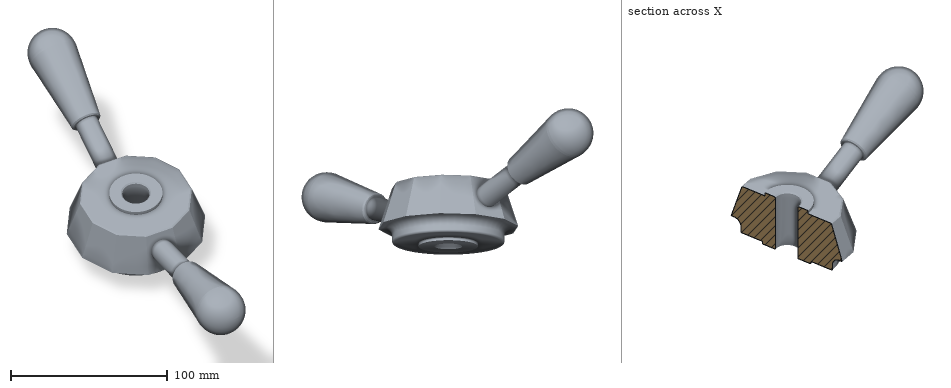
import cadquery as cq
import math

span = 283.7
right_reach = 142.7
left_reach = span - right_reach

foot_dia = 38.0
disc_dia = 72.0
disc_bottom = 2.0
disc_edge_radius = 1.5
neck_radius = 5.0
hub_sides = 12
hub_width = 87.0
hub_bottom = 12.2
hub_top = 39.5
hub_edge_chamfer = 0.7
boss_dia = 34.0
boss_top = 42.0
bore_dia = 17.5
bore_chamfer = 0.9

arm_angle = 17.5
axis_height = 13.5
rod_dia = 15.0
grip_end_dia = 32.0
grip_neck_dia = 20.0
grip_length = 53.5
grip_neck_chamfer = 0.9
grip_band = 2.0


def make_faceted_body():
    """Twelve-sided tapered body with facets square to X and Y."""
    half_sector = 180.0 / hub_sides
    corner_dia = hub_width / math.cos(math.radians(half_sector))
    return (
        cq.Workplane("XY", origin=(0, 0, hub_bottom))
        .transformed(rotate=(0, 0, half_sector))
        .polygon(hub_sides, corner_dia)
        .extrude(hub_top - hub_bottom, taper=arm_angle)
        .faces(">Z")
        .chamfer(hub_edge_chamfer)
    )


def make_hub_core():
    """Turned foot, disc, neck fillet and top boss."""
    disc_radius = disc_dia / 2
    foot_radius = foot_dia / 2
    boss_radius = boss_dia / 2
    arc_offset = 1 - math.sqrt(0.5)
    edge_mid = (
        disc_radius - disc_edge_radius * arc_offset,
        disc_bottom + disc_edge_radius * arc_offset,
    )
    neck_mid = (
        disc_radius + neck_radius * arc_offset,
        hub_bottom - neck_radius * arc_offset,
    )
    return (
        cq.Workplane("XZ")
        .moveTo(0, 0)
        .lineTo(foot_radius, 0)
        .lineTo(foot_radius, disc_bottom)
        .lineTo(disc_radius - disc_edge_radius, disc_bottom)
        .threePointArc(edge_mid, (disc_radius, disc_bottom + disc_edge_radius))
        .lineTo(disc_radius, hub_bottom - neck_radius)
        .threePointArc(neck_mid, (disc_radius + neck_radius, hub_bottom))
        .lineTo(boss_radius, hub_bottom)
        .lineTo(boss_radius, boss_top)
        .lineTo(0, boss_top)
        .close()
        .revolve(360, (0, 0, 0), (0, 1, 0))
    )


def make_arm(reach):
    """Rod and grip turned about +X, then tilted up about the hub axis."""
    ball_radius = grip_end_dia / 2
    rod_radius = rod_dia / 2
    neck_face_radius = grip_neck_dia / 2 - grip_neck_chamfer
    ball_centre = (reach - ball_radius) / math.cos(math.radians(arm_angle))
    neck_face = ball_centre - grip_length
    ball_mid = ball_radius * math.sqrt(0.5)
    return (
        cq.Workplane("XY")
        .moveTo(0, 0)
        .lineTo(0, rod_radius)
        .lineTo(neck_face, rod_radius)
        .lineTo(neck_face, neck_face_radius)
        .lineTo(neck_face + grip_neck_chamfer, grip_neck_dia / 2)
        .lineTo(ball_centre - grip_band, ball_radius)
        .lineTo(ball_centre, ball_radius)
        .threePointArc((ball_centre + ball_mid, ball_mid), (ball_centre + ball_radius, 0))
        .close()
        .revolve(360, (0, 0, 0), (1, 0, 0))
        .rotate((0, 0, 0), (0, 1, 0), -arm_angle)
        .translate((0, 0, axis_height))
    )


def make_bore():
    """Through bore with a chamfered mouth in the boss."""
    bore = cq.Workplane("XY").circle(bore_dia / 2).extrude(boss_top)
    mouth = (
        cq.Workplane("XY", origin=(0, 0, boss_top))
        .circle(bore_dia / 2 + bore_chamfer)
        .extrude(-bore_chamfer, taper=45)
    )
    return bore.union(mouth)


right_arm = make_arm(right_reach)
left_arm = make_arm(left_reach).rotate((0, 0, 0), (0, 0, 1), 180)

result = (
    make_faceted_body()
    .union(make_hub_core())
    .union(right_arm)
    .union(left_arm)
    .cut(make_bore())
)